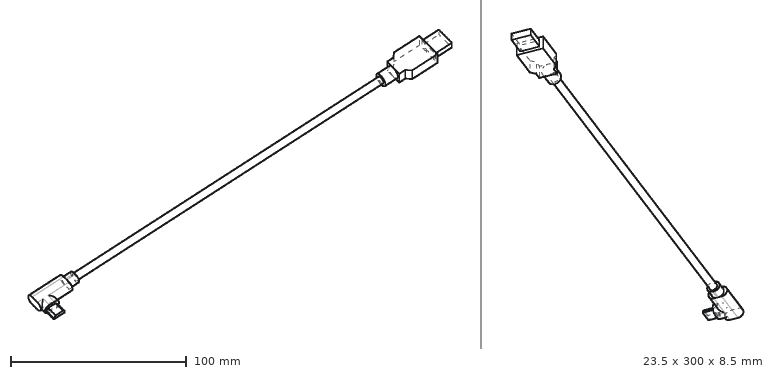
import cadquery as cq

total_length = 300.0
overall_width = 23.5
cable_diameter = 4.8

shell_width = 12.0
shell_height = 4.5
shell_length = 12.3
grip_width = 16.5
grip_height = 8.5
neck_width = 11.0
grip_straight_length = 18.5
grip_taper_length = 2.7
neck_length = 4.5
straight_sleeve_diameter = grip_height
straight_sleeve_length = 9.0

elbow_width = 11.7
elbow_height = 7.0
elbow_side_flat = 0.12
elbow_edge_radius = (elbow_height - elbow_side_flat) / 2
elbow_length = 23.0
elbow_sleeve_width = 7.8
elbow_sleeve_length = 6.3
branch_width = 10.5
branch_center_y = 6.0
branch_end_x = 8.5
tip_end_x = overall_width - grip_width / 2
tip_width = 8.0
tip_top_width = 5.5
tip_height = 2.7
tip_side_height = 1.0

grip_front_y = total_length - shell_length
taper_start_y = grip_front_y - grip_straight_length
taper_end_y = taper_start_y - grip_taper_length
neck_end_y = taper_end_y - neck_length
cable_end_y = neck_end_y - straight_sleeve_length
cable_start_y = elbow_length + elbow_sleeve_length


def plane_along_y(y):
    """Plane at the given Y whose normal points to +Y and whose local Y is Z."""
    return cq.Plane(origin=(0, y, 0), xDir=(-1, 0, 0), normal=(0, 1, 0))


def plane_along_x(y):
    """Plane at X = 0 whose normal points to +X, with local X along Y and local Y along Z."""
    return cq.Plane(origin=(0, y, 0), xDir=(0, 1, 0), normal=(1, 0, 0))


def rounded_bar(plane, width, height, length):
    """Bar with flat top and bottom and fully round sides."""
    return cq.Workplane(plane).slot2D(width, height).extrude(length)


def make_straight_shell():
    """Rectangular metal end of the straight plug."""
    return cq.Workplane(plane_along_y(grip_front_y)).rect(shell_width, shell_height).extrude(shell_length)


def make_straight_grip():
    """Flat grip that tapers to a neck, with a round strain-relief sleeve behind it."""
    grip = (
        cq.Workplane("XY")
        .workplane(offset=-grip_height / 2)
        .moveTo(-grip_width / 2, grip_front_y)
        .lineTo(grip_width / 2, grip_front_y)
        .lineTo(grip_width / 2, taper_start_y)
        .lineTo(neck_width / 2, taper_end_y)
        .lineTo(neck_width / 2, neck_end_y)
        .lineTo(-neck_width / 2, neck_end_y)
        .lineTo(-neck_width / 2, taper_end_y)
        .lineTo(-grip_width / 2, taper_start_y)
        .close()
        .extrude(grip_height)
    )
    sleeve = (
        cq.Workplane(plane_along_y(cable_end_y))
        .circle(straight_sleeve_diameter / 2)
        .extrude(straight_sleeve_length)
    )
    return grip.union(sleeve)


def make_cable():
    """Round cable between the two strain-relief sleeves."""
    return (
        cq.Workplane(plane_along_y(cable_start_y))
        .circle(cable_diameter / 2)
        .extrude(cable_end_y - cable_start_y)
    )


def make_elbow():
    """Right-angle grip: a rounded barrel, its sleeve and a side branch toward +X."""
    barrel = (
        cq.Workplane(plane_along_y(0))
        .rect(elbow_width, elbow_height)
        .extrude(elbow_length)
        .edges("|Y")
        .fillet(elbow_edge_radius)
    )
    sleeve = rounded_bar(plane_along_y(elbow_length), elbow_sleeve_width, elbow_height, elbow_sleeve_length)
    branch = rounded_bar(plane_along_x(branch_center_y), branch_width, elbow_height, branch_end_x)
    return barrel.union(sleeve).union(branch)


def make_elbow_tip():
    """Small metal tip with sloped upper sides on the end of the branch."""
    bottom_z = -tip_height / 2
    slope_start_z = bottom_z + tip_side_height
    top_z = tip_height / 2
    return (
        cq.Workplane(plane_along_x(branch_center_y))
        .workplane(offset=branch_end_x)
        .moveTo(-tip_width / 2, bottom_z)
        .lineTo(tip_width / 2, bottom_z)
        .lineTo(tip_width / 2, slope_start_z)
        .lineTo(tip_top_width / 2, top_z)
        .lineTo(-tip_top_width / 2, top_z)
        .lineTo(-tip_width / 2, slope_start_z)
        .close()
        .extrude(tip_end_x - branch_end_x)
    )


straight_shell = make_straight_shell()
straight_grip = make_straight_grip()
cable = make_cable()
elbow = make_elbow()
elbow_tip = make_elbow_tip()

result = cq.Compound.makeCompound(
    [straight_shell.val(), straight_grip.val(), cable.val(), elbow.val(), elbow_tip.val()]
)